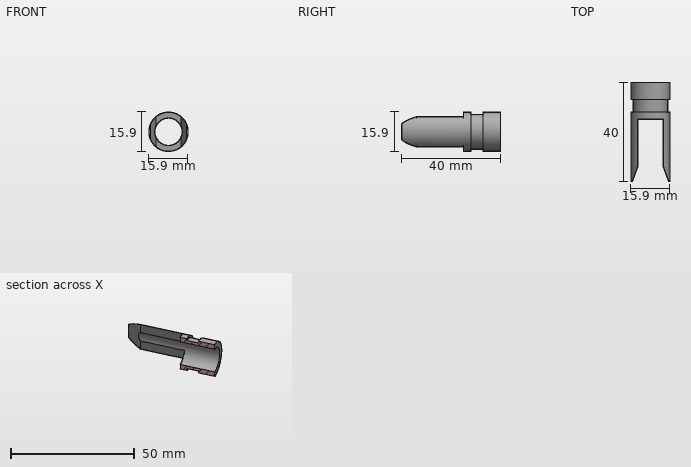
import cadquery as cq
import math

length = 40.0
outer_diameter = 15.9
bore_diameter = 11.0
head_length = 7.0
groove_length = 5.0
groove_diameter = 14.1
collar_length = 3.0
slot_width = 10.2
bevel_length = 6.0
bevel_angle = 20.0

groove_rear = length - head_length
groove_front = groove_rear - groove_length
slot_end = groove_front - collar_length

slot_half = slot_width / 2
mouth_half = slot_half + bevel_length * math.tan(math.radians(bevel_angle))


def rod(diameter, start, end):
    """Round bar along Y between two positions."""
    return cq.Workplane("XZ", origin=(0, end, 0)).circle(diameter / 2).extrude(end - start)


def grooved_body():
    """Outer cylinder with one ring groove behind the collar."""
    head = rod(outer_diameter, groove_rear, length)
    neck = rod(groove_diameter, groove_front, groove_rear)
    front = rod(outer_diameter, 0, groove_front)
    return front.union(neck).union(head)


def prong_slot():
    """Slot through the full height, flaring out to a bevelled mouth."""
    return (
        cq.Workplane("XY")
        .moveTo(-mouth_half, 0)
        .lineTo(-slot_half, bevel_length)
        .lineTo(-slot_half, slot_end)
        .lineTo(slot_half, slot_end)
        .lineTo(slot_half, bevel_length)
        .lineTo(mouth_half, 0)
        .close()
        .extrude(outer_diameter, both=True)
    )


bore = rod(bore_diameter, 0, length)
result = grooved_body().cut(bore).cut(prong_slot())